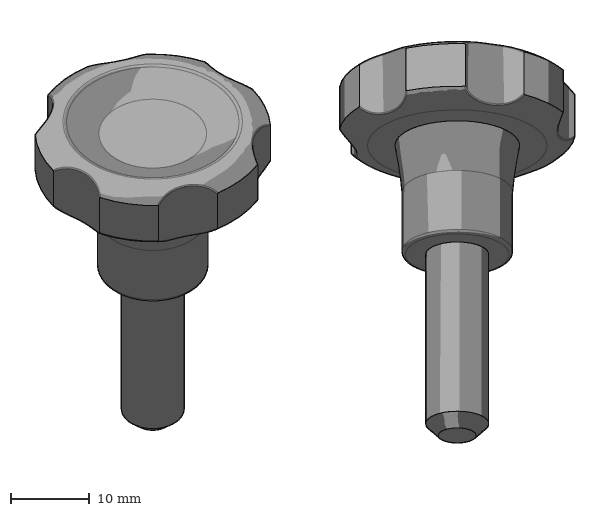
import cadquery as cq
import math

total_height = 49.0
head_bottom = 40.05
band_bottom = 41.75
band_top = 47.65
collar_top = 33.55
collar_bottom = 25.0

head_radius = 14.95
crown_radius = 11.35
neck_top_radius = 7.9
neck_mid_radius = 7.35
collar_radius = 14.0 / 2
stud_radius = 8.0 / 2
stud_tip_radius = 2.4

collar_fillet = 0.45
stud_chamfer_height = 1.6
grip_fillet = 0.2

dish_floor_radius = 6.8
dish_rim_radius = 10.95
dish_depth = 2.0
dish_lip_drop = 0.15
dish_wall_sag = 0.2

scallop_count = 6
scallop_floor = 13.1
scallop_half_width = 3.9


def bowed_midpoint(start, end, bow):
    """Point halfway along start-end, moved by bow to the right of that direction."""
    dx = end[0] - start[0]
    dz = end[1] - start[1]
    length = math.hypot(dx, dz)
    mid_x = (start[0] + end[0]) / 2
    mid_z = (start[1] + end[1]) / 2
    return (mid_x + bow * dz / length, mid_z - bow * dx / length)


def crown_bow(drop):
    """Bow of an arc tangent to the flat face at crown_radius that reaches the rim after drop."""
    run = head_radius - crown_radius
    arc_radius = (run**2 + drop**2) / (2 * drop)
    return arc_radius - math.sqrt(arc_radius**2 - (run**2 + drop**2) / 4)


def turned_head():
    underside = (crown_radius, head_bottom)
    rim_low = (head_radius, band_bottom)
    rim_high = (head_radius, band_top)
    top = (crown_radius, total_height)
    lip = (dish_rim_radius, total_height - dish_lip_drop)
    floor = (dish_floor_radius, total_height - dish_depth)
    low_bow = crown_bow(band_bottom - head_bottom)
    high_bow = crown_bow(total_height - band_top)
    return (
        cq.Workplane("XZ")
        .moveTo(0, head_bottom)
        .lineTo(*underside)
        .threePointArc(bowed_midpoint(underside, rim_low, low_bow), rim_low)
        .lineTo(*rim_high)
        .threePointArc(bowed_midpoint(rim_high, top, high_bow), top)
        .tangentArcPoint(lip, relative=False)
        .threePointArc(bowed_midpoint(lip, floor, -dish_wall_sag), floor)
        .lineTo(0, floor[1])
        .close()
        .revolve(360, (0, 0), (0, 1))
    )


def cut_scallops(head):
    depth = math.sqrt(head_radius**2 - scallop_half_width**2) - scallop_floor
    radius = (scallop_half_width**2 + depth**2) / (2 * depth)
    scallops = (
        cq.Workplane("XY")
        .workplane(offset=head_bottom)
        .polarArray(scallop_floor + radius, 0, 360, scallop_count)
        .circle(radius)
        .extrude(total_height - head_bottom)
    )
    return head.cut(scallops)


def round_scallop_edges(head):
    """Round the curved edges where the scallops meet the crown and underside."""
    scallop_walls = head.faces("%CYLINDER").faces(
        cq.selectors.BoxSelector(
            (-head_radius, -head_radius, head_bottom),
            (head_radius, head_radius, total_height),
        )
    )
    curved_edges = scallop_walls.edges("not(%LINE or %CIRCLE)")
    return head.newObject(curved_edges.vals()).fillet(grip_fillet)


def turned_shank():
    neck_bottom = (collar_radius, collar_top)
    neck_middle = (neck_mid_radius, (collar_top + head_bottom) / 2)
    collar = (
        cq.Workplane("XZ")
        .moveTo(0, collar_bottom)
        .lineTo(collar_radius, collar_bottom)
        .lineTo(*neck_bottom)
        .threePointArc(neck_middle, (neck_top_radius, head_bottom))
        .lineTo(0, head_bottom)
        .close()
        .revolve(360, (0, 0), (0, 1))
        .faces("<Z")
        .edges()
        .fillet(collar_fillet)
    )
    stud = (
        cq.Workplane("XZ")
        .lineTo(stud_tip_radius, 0)
        .lineTo(stud_radius, stud_chamfer_height)
        .lineTo(stud_radius, collar_bottom)
        .lineTo(0, collar_bottom)
        .close()
        .revolve(360, (0, 0), (0, 1))
    )
    return collar.union(stud)


head = round_scallop_edges(cut_scallops(turned_head()))
result = head.union(turned_shank())